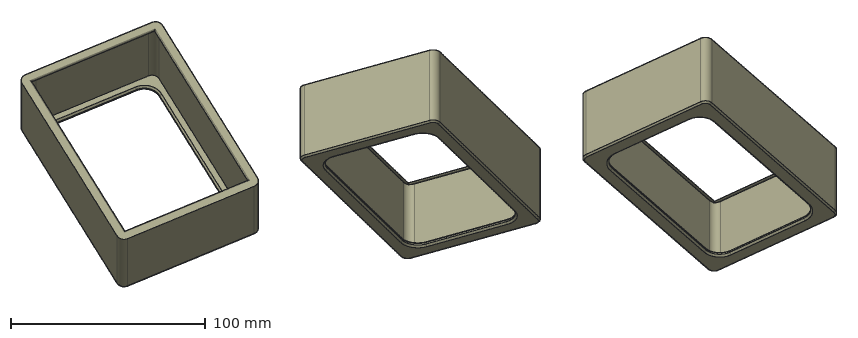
import cadquery as cq

length = 116.0
width = 81.0
height = 43.0
outer_corner_radius = 4.1
bottom_chamfer = 0.9

rim_width = 4.5
bead_radius = 0.6
wall = 4.0
cavity_corner_radius = 4.1
floor_thickness = 3.0

window_border = 8.2
window_corner_radius = 8.8
window_chamfer = 1.0


def inset_block(inset, bottom, top):
    """Block whose four sides lie a given distance inside the outer walls."""
    return (
        cq.Workplane("XY", origin=(0, 0, bottom))
        .rect(length - 2 * inset, width - 2 * inset)
        .extrude(top - bottom)
    )


def make_body():
    body = inset_block(0, 0, height).edges("|Z").fillet(outer_corner_radius)
    return body.faces("<Z").edges().chamfer(bottom_chamfer)


def make_cavity():
    """Rounded cavity under the bead, joined to the sharp-cornered rim opening."""
    bead_bottom = height - 2 * bead_radius
    cavity = inset_block(wall, floor_thickness, bead_bottom).edges("|Z").fillet(cavity_corner_radius)
    return cavity.union(inset_block(rim_width, bead_bottom, height))


def make_bead():
    """Half-round bead with mitred corners, tangent to the top face."""
    bead_z = height - bead_radius
    half_length = length / 2 - rim_width
    half_width = width / 2 - rim_width
    path = cq.Workplane("XY", origin=(0, 0, bead_z)).rect(2 * half_length, 2 * half_width)
    profile = cq.Workplane("XZ", origin=(half_length, 0, bead_z)).circle(bead_radius)
    return profile.sweep(path, transition="right")


def chamfer_window(body):
    """Chamfer the upper and lower edges of the window through the floor."""
    half_length = length / 2 - window_border
    half_width = width / 2 - window_border
    margin = window_chamfer / 2
    edge_zone = cq.selectors.BoxSelector(
        (-half_length - margin, -half_width - margin, -margin),
        (half_length + margin, half_width + margin, floor_thickness + margin),
    )
    return body.edges(edge_zone).chamfer(window_chamfer)


window = inset_block(window_border, 0, floor_thickness).edges("|Z").fillet(window_corner_radius)
body = make_body().cut(make_cavity()).cut(window)
result = chamfer_window(body).union(make_bead())